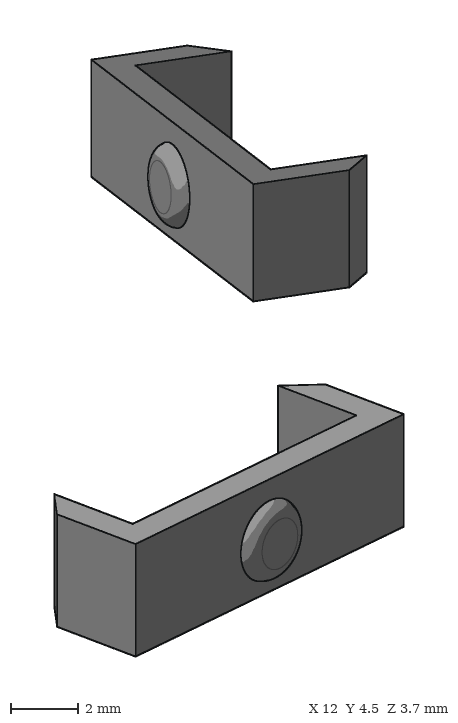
import cadquery as cq

length = 12.0
height = 3.7
wall = 1.0
arm_reach = 4.1

button_diameter = 2.6
button_height = 1.7
button_projection = 0.4
button_edge_radius = 0.5
button_embed = 0.12

half_length = length / 2
inner_half = half_length - wall


def make_clip():
    """U-shaped clip whose arm tips are bevelled at 45 degrees on the outside."""
    outline = [
        (-half_length, 0),
        (half_length, 0),
        (half_length, arm_reach - wall),
        (inner_half, arm_reach),
        (inner_half, wall),
        (-inner_half, wall),
        (-inner_half, arm_reach),
        (-half_length, arm_reach - wall),
    ]
    return cq.Workplane("XY").polyline(outline).close().extrude(height)


def make_button():
    """Disc with a rounded outer edge, pointing toward -Y."""
    return (
        cq.Workplane("XZ", origin=(0, button_embed, button_height))
        .circle(button_diameter / 2)
        .extrude(button_projection + button_embed)
        .faces("<Y")
        .edges()
        .fillet(button_edge_radius)
    )


result = make_clip().union(make_button())